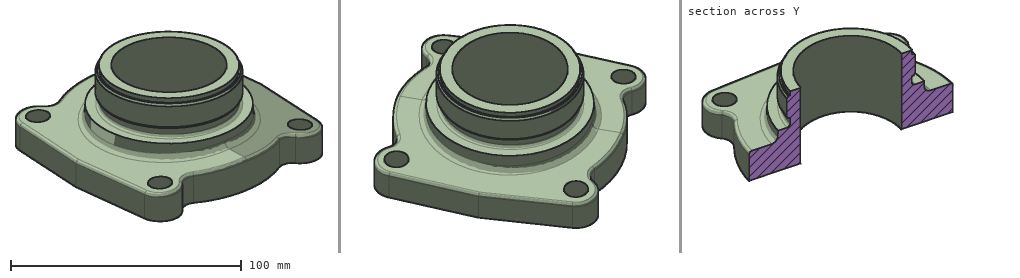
import cadquery as cq
import math

flange_width = 101.6
side_radius = flange_width / 2
apex_y = 53.5
bolt_offset = 40.2
bolt_hole_diameter = 10.5
lobe_radius = 9.7
waist_radius = 6.0
ridge_height = 16.0
roof_slope = math.radians(3)
edge_fillet = 1.5

tolerance = 0.01

boss_top_radius = 36.4
boss_top_z = 22.2
boss_draft = math.radians(3)
boss_fillet = 3.0
boss_pad_radius = 40.7

total_height = 41.3
bore_radius = 25.0
neck_radius = 30.4
neck_fillet = 1.5
band_radius = 32.0
band_bottom_z = 26.9
band_top_z = 39.1
band_chamfer_height = 1.1
band_chamfer_width = 0.7


def polar(center, radius, angle):
    """Point at the given radius and angle around a center."""
    return (
        center[0] + radius * math.cos(angle),
        center[1] + radius * math.sin(angle),
    )


def quarter_points():
    """Outline points of the +X +Y quarter, from the side arc to the lobe's straight edge."""
    origin = (0, 0)
    lobe = (bolt_offset, bolt_offset)

    lobe_distance = math.hypot(*lobe)
    waist_distance = side_radius + waist_radius
    waist_to_lobe = lobe_radius + waist_radius
    cos_between = (lobe_distance**2 + waist_distance**2 - waist_to_lobe**2) / (
        2 * lobe_distance * waist_distance
    )
    waist_angle = math.atan2(lobe[1], lobe[0]) - math.acos(cos_between)
    waist = polar(origin, waist_distance, waist_angle)
    side_end = polar(origin, side_radius, waist_angle)
    lobe_start_angle = math.atan2(waist[1] - lobe[1], waist[0] - lobe[0])
    lobe_start = polar(lobe, lobe_radius, lobe_start_angle)
    middle_direction = math.atan2(
        (side_end[1] + lobe_start[1]) / 2 - waist[1],
        (side_end[0] + lobe_start[0]) / 2 - waist[0],
    )
    waist_middle = polar(waist, waist_radius, middle_direction)

    to_apex = (-lobe[0], apex_y - lobe[1])
    lobe_end_angle = math.atan2(to_apex[1], to_apex[0]) - math.acos(lobe_radius / math.hypot(*to_apex))
    lobe_end = polar(lobe, lobe_radius, lobe_end_angle)
    lobe_middle = polar(lobe, lobe_radius, (lobe_start_angle + lobe_end_angle) / 2)
    return side_end, waist_middle, lobe_start, lobe_middle, lobe_end


def flange_outline():
    """Closed flange outline, mirrored from one quarter about both axes."""
    side_end, waist_middle, lobe_start, lobe_middle, lobe_end = quarter_points()

    def mirrored(point, x_sign, y_sign):
        return (x_sign * point[0], y_sign * point[1])

    outline = cq.Workplane("XY").moveTo(*mirrored(side_end, 1, -1))
    for sign in (1, -1):
        outline = (
            outline.threePointArc((sign * side_radius, 0), mirrored(side_end, sign, sign))
            .threePointArc(mirrored(waist_middle, sign, sign), mirrored(lobe_start, sign, sign))
            .threePointArc(mirrored(lobe_middle, sign, sign), mirrored(lobe_end, sign, sign))
            .lineTo(0, sign * apex_y)
            .lineTo(*mirrored(lobe_end, -sign, sign))
            .threePointArc(mirrored(lobe_middle, -sign, sign), mirrored(lobe_start, -sign, sign))
            .threePointArc(mirrored(waist_middle, -sign, sign), mirrored(side_end, -sign, sign))
        )
    return outline.close()


def is_roof_rim(edge):
    """True for edges around the sloping top, leaving out the ridge and the upright edges."""
    box = edge.BoundingBox()
    on_ridge = box.ymax - box.ymin < tolerance
    return box.zmin > tolerance and not on_ridge


def flange():
    """Flange plate whose top falls away to both ends from a ridge along X."""
    half_span = apex_y
    eave_height = ridge_height - half_span * math.tan(roof_slope)
    roof = (
        cq.Workplane("YZ")
        .polyline(
            [
                (-half_span, 0),
                (half_span, 0),
                (half_span, eave_height),
                (0, ridge_height),
                (-half_span, eave_height),
            ]
        )
        .close()
        .extrude(half_span, both=True)
    )
    plate = flange_outline().extrude(ridge_height).intersect(roof)
    rim = [edge for edge in plate.edges().vals() if is_roof_rim(edge)]
    return plate.newObject(rim).fillet(edge_fillet)


def is_boss_root(edge):
    """True for the closed edge where the boss cone meets the slope."""
    box = edge.BoundingBox()
    inside_pad = box.xmax < boss_pad_radius - tolerance
    return inside_pad and box.xmax > boss_top_radius and edge.geomType() != "CIRCLE"


def boss():
    """Drafted boss blended into the roof, made on one slope and mirrored across the ridge."""
    base_radius = boss_top_radius + boss_top_z * math.tan(boss_draft)
    cone = (
        cq.Workplane("YZ")
        .polyline([(0, 0), (base_radius, 0), (boss_top_radius, boss_top_z), (0, boss_top_z)])
        .close()
        .revolve(360, (0, 0), (0, 1))
    )
    rise = boss_pad_radius * math.tan(roof_slope)
    slope_wedge = (
        cq.Workplane("YZ")
        .polyline(
            [
                (-boss_pad_radius, 0),
                (boss_pad_radius, 0),
                (boss_pad_radius, ridge_height - rise),
                (-boss_pad_radius, ridge_height + rise),
            ]
        )
        .close()
        .extrude(boss_pad_radius, both=True)
    )
    pad = cq.Workplane("XY").circle(boss_pad_radius).extrude(boss_top_z).intersect(slope_wedge)
    on_slope = cone.union(pad)
    root = [edge for edge in on_slope.edges().vals() if is_boss_root(edge)]
    on_slope = on_slope.newObject(root).fillet(boss_fillet)

    half_space = cq.Workplane("XY").box(
        2 * boss_pad_radius, boss_pad_radius, boss_top_z, centered=(True, False, False)
    )
    half = on_slope.intersect(half_space)
    return half.union(half.mirror("XZ"))


def neck():
    """Neck with a concave root fillet and a chamfered band."""
    chamfered_radius = band_radius - band_chamfer_width
    root_radius = neck_radius + neck_fillet
    sag = neck_fillet * (1 - math.sqrt(0.5))
    return (
        cq.Workplane("XZ")
        .moveTo(0, 0)
        .lineTo(root_radius, 0)
        .lineTo(root_radius, boss_top_z)
        .threePointArc((neck_radius + sag, boss_top_z + sag), (neck_radius, boss_top_z + neck_fillet))
        .lineTo(neck_radius, band_bottom_z)
        .lineTo(chamfered_radius, band_bottom_z)
        .lineTo(band_radius, band_bottom_z + band_chamfer_height)
        .lineTo(band_radius, band_top_z - band_chamfer_height)
        .lineTo(chamfered_radius, band_top_z)
        .lineTo(neck_radius, band_top_z)
        .lineTo(neck_radius, total_height)
        .lineTo(0, total_height)
        .close()
        .revolve(360, (0, 0), (0, 1))
    )


body = flange().union(boss()).union(neck())

bore = cq.Workplane("XY").circle(bore_radius).extrude(total_height)
bolt_holes = (
    cq.Workplane("XY")
    .rect(2 * bolt_offset, 2 * bolt_offset, forConstruction=True)
    .vertices()
    .circle(bolt_hole_diameter / 2)
    .extrude(ridge_height)
)
result = body.cut(bore).cut(bolt_holes)